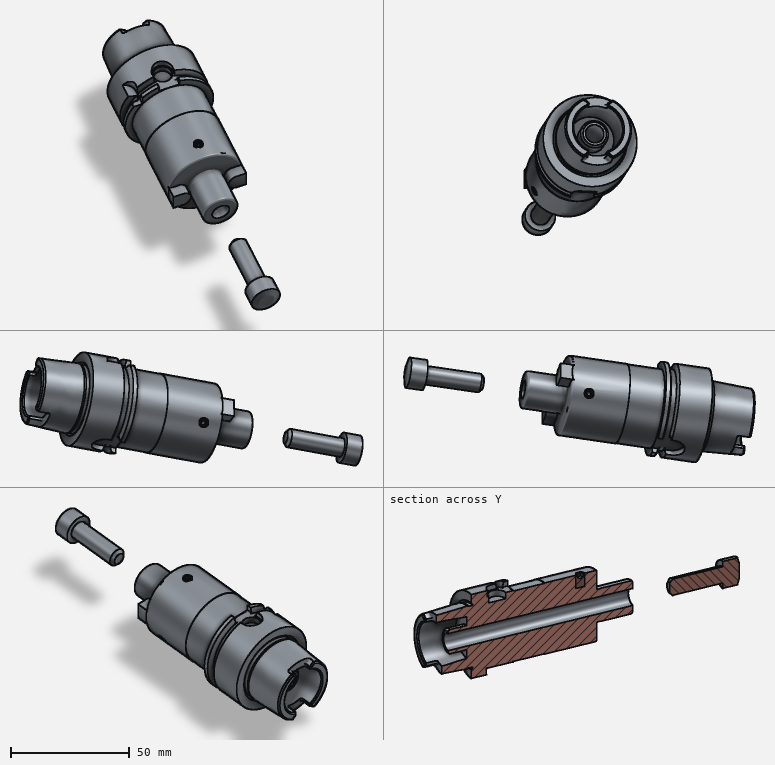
import cadquery as cq
import math

shank_length = 20.0
nose_radius = 14.2
taper_radius = 15.0
taper_end_x = 17.9
nose_chamfer = 0.7
nose_chamfer_depth = 0.6
relief_radius = 14.8
relief_length = 0.9
face_groove_radius = 15.8
face_groove_depth = 0.7

bore_radius = 10.5
bore_chamfer = 0.6
bore_depth = 8.0
floor_radius = 9.8
cavity_depth = 17.7
stub_radius = 5.9
stub_end_x = 8.9
stub_chamfer = 0.9
through_hole_radius = 3.92

drive_slot_half_width = 4.0
drive_slot_flare_start = 11.1
drive_slot_flare_end = 13.0
drive_slot_flare_half_width = 6.5
shallow_slot_depth = 3.3
deep_slot_depth = 5.9
drive_slot_corner_radius = 0.9
drive_slot_chamfer = 0.6

flange_radius = 20.02
flange_end_x = 39.9
groove_start_x = 34.0
groove_end_x = 38.0
groove_floor_radius = 17.5
groove_flank_width = 0.9

flange_slot_x = 32.4
flange_slot_radius = 4.65
wide_slot_radius = 5.0
flange_slot_floor_z = 17.0
pocket_diameter = 8.0
pocket_depth = 3.0
notch_wall_y = -12.19
notch_floor_z = 11.7

body_radius = 16.8
collar_start_x = 54.8
collar_radius = 17.0
shoulder_x = 80.0
collar_fillet = 1.0
pilot_end_x = 97.0
pilot_radius = 8.0
pilot_fillet = 1.0
neck_radius = 7.8
neck_length = 1.2
neck_cone_length = 0.9
neck_fillet = 0.3

key_width = 7.7
key_length = 4.9
key_outer_y = 16.5
key_round_y = 11.7
key_tip_y = 8.5
key_root_depth = 1.5

set_screw_count = 3
set_screw_x = 72.0
set_screw_diameter = 4.0
set_screw_length = 5.9
set_screw_top = 16.7
set_screw_chamfer = 0.3
set_screw_hex_corners = 2.4
set_screw_hex_depth = 1.2
set_screw_cone_depth = 0.6

screw_end_x = 147.8
screw_head_length = 8.0
screw_head_radius = 6.5
screw_crown_radius = 3.47
screw_crown_length = 0.9
screw_shank_length = 25.3
screw_shank_radius = 4.0
screw_tip_chamfer = 1.4

CUT_MARGIN = 7.4


def revolve_about_x(points):
    """Solid of revolution from an (x, radius) outline."""
    return cq.Workplane("XY").polyline(points).close().revolve(360, (0, 0, 0), (1, 0, 0))


def holder_blank():
    groove_floor_start = groove_start_x + groove_flank_width
    groove_floor_end = groove_end_x - groove_flank_width
    neck_end_x = shoulder_x + neck_length
    shank_flange_and_body = [
        (0, 0),
        (0, nose_radius - nose_chamfer_depth),
        (nose_chamfer, nose_radius),
        (taper_end_x, taper_radius),
        (taper_end_x + relief_length, relief_radius),
        (shank_length + face_groove_depth, relief_radius),
        (shank_length, face_groove_radius),
        (shank_length, flange_radius),
        (groove_start_x, flange_radius),
        (groove_floor_start, groove_floor_radius),
        (groove_floor_end, groove_floor_radius),
        (groove_end_x, flange_radius),
        (flange_end_x, flange_radius),
        (flange_end_x, body_radius),
        (collar_start_x, body_radius),
        (collar_start_x, collar_radius),
        (shoulder_x - collar_fillet, collar_radius),
    ]
    outline = (
        cq.Workplane("XY")
        .polyline(shank_flange_and_body)
        .radiusArc((shoulder_x, collar_radius - collar_fillet), collar_fillet)
        .lineTo(shoulder_x, neck_radius + neck_fillet)
        .radiusArc((shoulder_x + neck_fillet, neck_radius), -neck_fillet)
        .lineTo(neck_end_x, neck_radius)
        .lineTo(neck_end_x + neck_cone_length, pilot_radius)
        .lineTo(pilot_end_x - pilot_fillet, pilot_radius)
        .radiusArc((pilot_end_x, pilot_radius - pilot_fillet), pilot_fillet)
        .lineTo(pilot_end_x, 0)
        .close()
    )
    return outline.revolve(360, (0, 0, 0), (1, 0, 0))


def shank_cavity():
    """Bore that narrows towards its floor, and the through hole; the stub is left standing."""
    return revolve_about_x([
        (0, 0),
        (0, bore_radius + bore_chamfer),
        (bore_chamfer, bore_radius),
        (bore_depth, bore_radius),
        (cavity_depth, floor_radius),
        (cavity_depth, stub_radius),
        (stub_end_x + stub_chamfer, stub_radius),
        (stub_end_x, stub_radius - stub_chamfer),
        (stub_end_x, through_hole_radius),
        (pilot_end_x, through_hole_radius),
        (pilot_end_x, 0),
    ])


def drive_slot(depth, side):
    """Flared slot across one wall of the nose, on the +Z (side = 1) or -Z (side = -1) side."""
    top = nose_radius + CUT_MARGIN
    right_half = [
        (drive_slot_half_width, 0),
        (drive_slot_half_width, side * drive_slot_flare_start),
        (drive_slot_flare_half_width, side * drive_slot_flare_end),
        (drive_slot_flare_half_width, side * top),
    ]
    left_half = [(-y, z) for y, z in reversed(right_half)]
    outline = right_half + left_half
    slot = (
        cq.Workplane("YZ")
        .polyline(outline)
        .close()
        .extrude(depth)
        .faces(">X")
        .edges("not |Y")
        .fillet(drive_slot_corner_radius)
    )
    entry = (
        cq.Workplane("YZ")
        .polyline(outline)
        .close()
        .offset2D(drive_slot_chamfer, "intersection")
        .extrude(drive_slot_chamfer, taper=45)
    )
    return slot.union(entry)


def flange_slot(radius, center_y, floor_z, side):
    """Slot with a round end, open towards the body, milled along Z."""
    height = side * (flange_radius + CUT_MARGIN - floor_z)
    length = flange_end_x - flange_slot_x
    plane = cq.Workplane("XY").workplane(offset=side * floor_z)
    round_end = plane.center(flange_slot_x, center_y).circle(radius).extrude(height)
    straight = (
        plane.center(flange_slot_x + length / 2, center_y)
        .rect(length, 2 * radius)
        .extrude(height)
    )
    return round_end.union(straight)


def data_pocket():
    """Round pocket in the floor of the +Z flange slot."""
    return (
        cq.Workplane("XY")
        .workplane(offset=flange_slot_floor_z - pocket_depth)
        .center(flange_slot_x, 0)
        .circle(pocket_diameter / 2)
        .extrude(pocket_depth)
    )


def drive_key(side):
    """Key with a flat outer face and a round inner end, rooted in the shoulder."""
    half = key_width / 2
    return (
        cq.Workplane("YZ")
        .workplane(offset=shoulder_x - key_root_depth)
        .moveTo(side * key_outer_y, -half)
        .lineTo(side * key_outer_y, half)
        .lineTo(side * key_round_y, half)
        .threePointArc((side * key_tip_y, 0), (side * key_round_y, -half))
        .close()
        .extrude(key_root_depth + key_length)
    )


def around_collar(index, body):
    """Turn a body built on the +Z side to its place around the X axis."""
    return body.rotate((0, 0, 0), (1, 0, 0), index * 360 / set_screw_count)


def set_screw_hole():
    bottom = set_screw_top - set_screw_length
    return (
        cq.Workplane("XY")
        .workplane(offset=bottom)
        .center(set_screw_x, 0)
        .circle(set_screw_diameter / 2)
        .extrude(set_screw_length + CUT_MARGIN)
    )


def make_set_screw():
    """Set screw with a hexagon socket that ends in a drill cone."""
    bottom = set_screw_top - set_screw_length
    screw = (
        cq.Workplane("XY")
        .workplane(offset=bottom)
        .center(set_screw_x, 0)
        .circle(set_screw_diameter / 2)
        .extrude(set_screw_length)
        .faces(">Z")
        .chamfer(set_screw_chamfer)
    )
    hexagon = (
        cq.Workplane("XY")
        .workplane(offset=set_screw_top - set_screw_hex_depth)
        .center(set_screw_x, 0)
        .polygon(6, set_screw_hex_corners)
        .extrude(set_screw_hex_depth)
    )
    cone_radius = set_screw_hex_corners / 2 * math.cos(math.pi / 6)
    cone = cq.Workplane(cq.Solid.makeCone(
        cone_radius, 0, set_screw_cone_depth,
        pnt=cq.Vector(set_screw_x, 0, set_screw_top - set_screw_hex_depth),
        dir=cq.Vector(0, 0, -1)))
    return screw.cut(hexagon).cut(cone)


def make_holder():
    holder = holder_blank().cut(shank_cavity())
    holder = holder.cut(drive_slot(shallow_slot_depth, 1)).cut(drive_slot(deep_slot_depth, -1))
    holder = holder.cut(flange_slot(flange_slot_radius, 0, flange_slot_floor_z, 1))
    holder = holder.cut(flange_slot(wide_slot_radius, 0, flange_slot_floor_z, -1))
    notch_y = notch_wall_y - flange_slot_radius
    holder = holder.cut(flange_slot(flange_slot_radius, notch_y, notch_floor_z, 1))
    holder = holder.cut(data_pocket())
    for side in (-1, 1):
        holder = holder.union(drive_key(side))
    for index in range(set_screw_count):
        holder = holder.cut(around_collar(index, set_screw_hole()))
    return holder


def make_clamping_screw():
    head_x = screw_end_x - screw_head_length
    tip_x = head_x - screw_shank_length
    return revolve_about_x([
        (tip_x, 0),
        (tip_x, screw_shank_radius - screw_tip_chamfer),
        (tip_x + screw_tip_chamfer, screw_shank_radius),
        (head_x, screw_shank_radius),
        (head_x, screw_head_radius),
        (screw_end_x - screw_crown_length, screw_head_radius),
        (screw_end_x, screw_crown_radius),
        (screw_end_x, 0),
    ])


holder = make_holder()
clamping_screw = make_clamping_screw()
set_screws = [around_collar(index, make_set_screw()) for index in range(set_screw_count)]

result = cq.Compound.makeCompound([
    holder.val(),
    clamping_screw.val(),
    *[screw.val() for screw in set_screws],
])